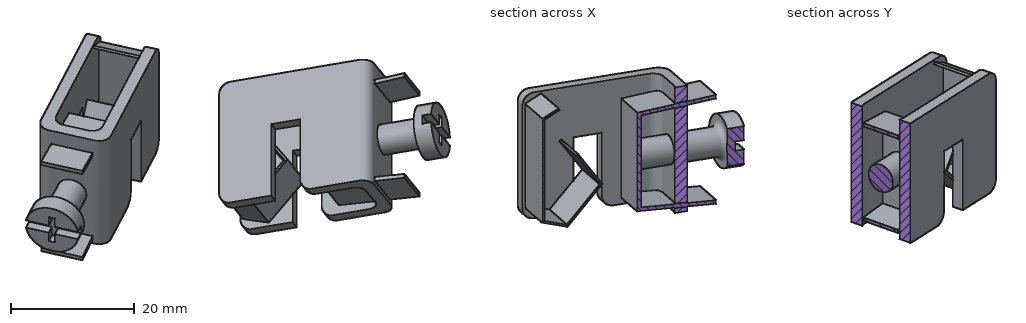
import cadquery as cq
import math

FRAME_WIDTH = 12.0
FRAME_DEPTH = 26.0
FRAME_HEIGHT = 22.0
WALL = 2.0
CORNER_RADIUS = 2.0
BEND_INNER_RADIUS = 1.8
INNER_WIDTH = FRAME_WIDTH - 2 * WALL

NOTCH_FRONT = 12.0
NOTCH_WIDTH = 5.0
NOTCH_HEIGHT = 13.0
PICK_MARGIN = 0.35

SPRING_THICKNESS = 0.45
SPRING_BACK = 25.52
SPRING_OUTER_PATH = [
    (19.15, 13.0),
    (14.9, 7.15),
    (21.1, 0.6),
    (SPRING_BACK, 2.05),
    (SPRING_BACK, 20.25),
    (22.68, 21.6),
]

SCREW_Z = 10.0
SHANK_DIAMETER = 5.0
HEAD_DIAMETER = 9
HEAD_FRONT = FRAME_DEPTH - 36
HEAD_THICKNESS = 3.0
HEAD_BACK = HEAD_FRONT + HEAD_THICKNESS
NECK_FILLET = 1.0
DRIVE_DEPTH = 1.5
SLOT_WIDTH = 1.5
CROSS_WIDTH = 1.0
CROSS_LENGTH = 5.05

CLAMP_WIDTH = 7.05
CLAMP_THICKNESS = 0.72
CLAMP_BACK = 8.82
CLAMP_FRONT = -5.08
CLAMP_BACK_HALF_HEIGHT = 8.65
CLAMP_FRONT_HALF_HEIGHT = 9.55
SCREW_TIP = CLAMP_BACK - CLAMP_THICKNESS


def centred_box(width, y_start, y_end, z_start, z_end):
    """Box centred on X = 0 between the given Y and Z limits."""
    box = cq.Workplane("XY").box(width, y_end - y_start, z_end - z_start, centered=(True, False, False))
    return box.translate((0, y_start, z_start))


def extrude_across(points, width):
    """Extrude a closed (Y, Z) outline symmetrically along X."""
    return cq.Workplane("YZ").polyline(points).close().extrude(width / 2, both=True)


def left_normal(start, end):
    """Unit normal on the left of the segment from start to end."""
    run = end[0] - start[0]
    rise = end[1] - start[1]
    length = math.hypot(run, rise)
    return (-rise / length, run / length)


def offset_left(path, distance):
    """Parallel copy of an open path on its left side, with mitred corners."""
    normals = [left_normal(start, end) for start, end in zip(path, path[1:])]
    before = normals[:1] + normals
    after = normals + normals[-1:]
    offset = []
    for (y, z), a, b in zip(path, before, after):
        stretch = distance / (1 + a[0] * b[0] + a[1] * b[1])
        offset.append((y + stretch * (a[0] + b[0]), z + stretch * (a[1] + b[1])))
    return offset


def make_spring():
    """Bent sheet whose ends touch both side walls."""
    inner_path = offset_left(SPRING_OUTER_PATH, SPRING_THICKNESS)
    return extrude_across(SPRING_OUTER_PATH + inner_path[::-1], INNER_WIDTH)


def make_clamp():
    """Plate with flared tabs, cut from a tapered block."""
    def outline(inset):
        """Corners of the tapered outline, moved inward by the inset."""
        slope = (CLAMP_FRONT_HALF_HEIGHT - CLAMP_BACK_HALF_HEIGHT) / (CLAMP_BACK - CLAMP_FRONT)
        back = CLAMP_BACK - inset
        back_half = CLAMP_BACK_HALF_HEIGHT + slope * inset - inset
        front_half = CLAMP_FRONT_HALF_HEIGHT - inset
        return [
            (CLAMP_FRONT, SCREW_Z - front_half),
            (back, SCREW_Z - back_half),
            (back, SCREW_Z + back_half),
            (CLAMP_FRONT, SCREW_Z + front_half),
        ]

    outer = extrude_across(outline(0), CLAMP_WIDTH)
    return outer.cut(extrude_across(outline(CLAMP_THICKNESS), CLAMP_WIDTH))


def make_screw():
    """Round screw with a filleted neck and a slotted cross drive."""
    shank_radius = SHANK_DIAMETER / 2
    head_radius = HEAD_DIAMETER / 2
    neck_radius = shank_radius + NECK_FILLET
    neck_end = HEAD_BACK + NECK_FILLET
    arc_offset = NECK_FILLET * math.sqrt(0.5)
    profile = (
        cq.Workplane("XY")
        .moveTo(0, HEAD_FRONT)
        .lineTo(head_radius, HEAD_FRONT)
        .lineTo(head_radius, HEAD_BACK)
        .lineTo(neck_radius, HEAD_BACK)
        .threePointArc((neck_radius - arc_offset, neck_end - arc_offset), (shank_radius, neck_end))
        .lineTo(shank_radius, SCREW_TIP)
        .lineTo(0, SCREW_TIP)
        .close()
    )
    screw = profile.revolve(360, (0, 0, 0), (0, 1, 0)).translate((0, 0, SCREW_Z))
    for width, height in ((HEAD_DIAMETER, SLOT_WIDTH), (CROSS_WIDTH, CROSS_LENGTH)):
        drive = centred_box(
            width, HEAD_FRONT, HEAD_FRONT + DRIVE_DEPTH, SCREW_Z - height / 2, SCREW_Z + height / 2
        )
        screw = screw.cut(drive)
    return screw


def make_frame(clamp):
    """Bent strap with a busbar notch and openings for the screw and clamp."""
    frame = centred_box(FRAME_WIDTH, 0, FRAME_DEPTH, 0, FRAME_HEIGHT)
    frame = frame.edges("|Z and <Y").fillet(CORNER_RADIUS)
    frame = frame.edges("|X and >Y").fillet(CORNER_RADIUS)

    space = centred_box(INNER_WIDTH, WALL, FRAME_DEPTH, 0, FRAME_HEIGHT)
    frame = frame.cut(space.edges("|Z and <Y").fillet(BEND_INNER_RADIUS))

    frame = frame.cut(centred_box(FRAME_WIDTH, NOTCH_FRONT, NOTCH_FRONT + NOTCH_WIDTH, 0, NOTCH_HEIGHT))
    lead_in = cq.selectors.BoxSelector(
        (-FRAME_WIDTH, NOTCH_FRONT - PICK_MARGIN, -PICK_MARGIN),
        (FRAME_WIDTH, NOTCH_FRONT + PICK_MARGIN, PICK_MARGIN),
    )
    frame = frame.edges("|X").edges(lead_in).fillet(CORNER_RADIUS)

    screw_hole = cq.Workplane("XZ").center(0, SCREW_Z).circle(SHANK_DIAMETER / 2).extrude(-SCREW_TIP)
    return frame.cut(screw_hole).cut(clamp)


clamp = make_clamp()
clamping_screw = make_screw().union(clamp)
frame = make_frame(clamp)
spring = make_spring()

result = cq.Compound.makeCompound([body.solids().val() for body in (frame, clamping_screw, spring)])